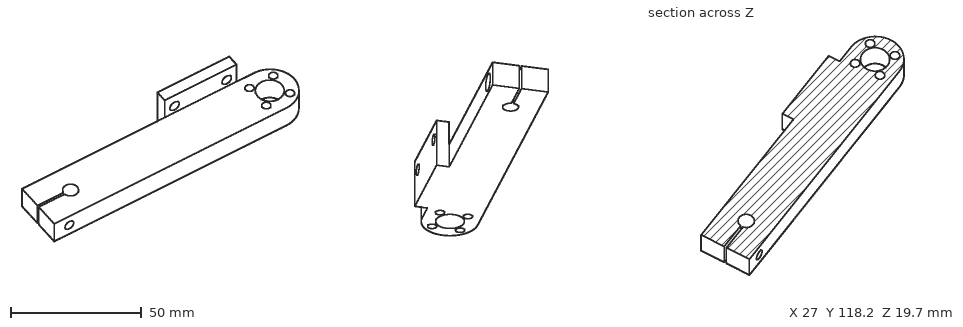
import cadquery as cq
import math

arm_width = 22.0
arm_thickness = 10.0
arm_length = 118.22
arm_center_x = arm_width / 2
end_radius = arm_width / 2
end_center_y = arm_length - end_radius
pivot_y = 107.0

bore_diameter = 11.0
mount_hole_diameter = 3.5
mount_hole_count = 4
mount_circle_radius = 7.85
mount_first_angle = 46.2

plate_thickness = 5.0
plate_length = 33.2
plate_height = 19.7
plate_start_y = 65.9
plate_hole_diameter = 4.3
plate_hole_spacing = 24.1
plate_hole_top_margin = 6.0
plate_hole_z = plate_height - plate_hole_top_margin
plate_center_y = plate_start_y + plate_length / 2

clamp_bore_diameter = 6.1
clamp_bore_y = 15.0
slit_width = 0.9
screw_hole_diameter = 4.0
screw_head_diameter = 7.0
screw_head_depth = 6.0
screw_y = 7.0
screw_z = arm_thickness / 2


def vertical_hole(x, y, diameter):
    """Cylinder through the full thickness of the arm."""
    return cq.Workplane("XY").center(x, y).circle(diameter / 2).extrude(arm_thickness)


def cross_hole(y, z, diameter, start_x, depth):
    """Cylinder along +X starting at start_x."""
    plane = cq.Workplane("YZ", origin=(start_x, y, z))
    return plane.circle(diameter / 2).extrude(depth)


def make_arm():
    return (
        cq.Workplane("XY")
        .lineTo(arm_width, 0)
        .lineTo(arm_width, end_center_y)
        .threePointArc((arm_center_x, arm_length), (0, end_center_y))
        .close()
        .extrude(arm_thickness)
    )


def cut_pivot_holes(body):
    body = body.cut(vertical_hole(arm_center_x, pivot_y, bore_diameter))
    for index in range(mount_hole_count):
        angle = math.radians(mount_first_angle + index * 360 / mount_hole_count)
        x = arm_center_x + mount_circle_radius * math.cos(angle)
        y = pivot_y + mount_circle_radius * math.sin(angle)
        body = body.cut(vertical_hole(x, y, mount_hole_diameter))
    return body


def make_side_plate():
    plate = cq.Workplane("XY").box(plate_thickness, plate_length, plate_height, centered=False)
    plate = plate.translate((-plate_thickness, plate_start_y, 0))
    for side in (-1, 1):
        y = plate_center_y + side * plate_hole_spacing / 2
        hole = cross_hole(y, plate_hole_z, plate_hole_diameter, -plate_thickness, plate_thickness)
        plate = plate.cut(hole)
    return plate


def cut_clamp(body):
    body = body.cut(vertical_hole(arm_center_x, clamp_bore_y, clamp_bore_diameter))
    slit = cq.Workplane("XY").box(slit_width, clamp_bore_y, arm_thickness, centered=False)
    body = body.cut(slit.translate((arm_center_x - slit_width / 2, 0, 0)))
    body = body.cut(cross_hole(screw_y, screw_z, screw_hole_diameter, 0, arm_width))
    return body.cut(cross_hole(screw_y, screw_z, screw_head_diameter, 0, screw_head_depth))


arm = cut_clamp(cut_pivot_holes(make_arm()))
result = arm.union(make_side_plate())